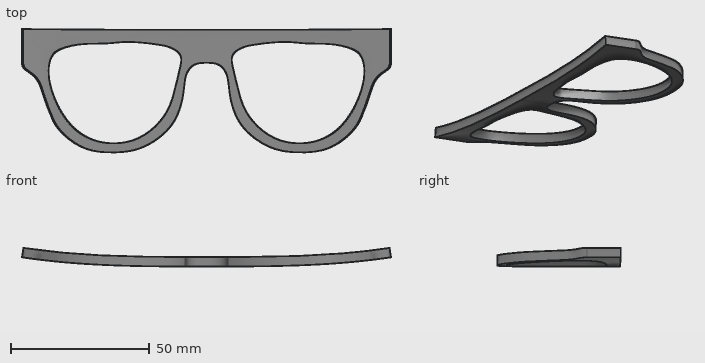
import cadquery as cq
import math

half_width = 66.86
thickness = 3.5
end_rise = 3.36
brow_end_y = 22.39
brow_dip = 0.3
end_face_bottom_y = 10.1

upper_face_steps = 8

clearance = 2.0
low_plane = -clearance
high_plane = end_rise + thickness + clearance

rim_points = [
    (66.5, 8.6),
    (64.0, 6.5),
    (61.3, 3.8),
    (59.3, -1.2),
    (57.2, -7.1),
    (54.9, -12.1),
    (49.9, -17.5),
    (43.2, -21.2),
    (34.0, -22.39),
    (25.1, -21.2),
    (17.6, -17.3),
    (12.0, -11.5),
    (9.2, -5.0),
    (8.1, 1.0),
    (7.1, 6.3),
    (4.9, 9.1),
]
bridge_top = (0, 10.1)

lens_points = [
    (32.7, 17.4),
    (44.4, 16.9),
    (51.9, 15.5),
    (55.7, 13.3),
    (57.5, 8.0),
    (56.4, 0.2),
    (53.2, -7.1),
    (46.8, -14.7),
    (40.2, -18.1),
    (33.5, -19.0),
    (26.6, -17.9),
    (18.9, -13.2),
    (14.1, -7.0),
    (11.4, 0.6),
    (9.6, 8.3),
    (9.5, 12.8),
    (12.6, 15.4),
    (18.9, 16.9),
]


def lower_face_height(x):
    """Height of the sheet's lower face, a cubic rise from the bridge to the ends."""
    return end_rise * abs(x / half_width) ** 3


def lower_face_slope(x):
    """Rise per unit of X on the lower face."""
    return 3 * lower_face_height(x) / x if x else 0


def mirrored(points):
    """Points reflected across the frame's plane of symmetry at X = 0."""
    return [(-x, y) for x, y in points]


def leaned(point, plane_height):
    """Where the line square to the lower face at a point crosses a horizontal plane."""
    x, y = point
    return (x - (plane_height - lower_face_height(x)) * lower_face_slope(x), y)


def upper_face_point(x):
    """Point (X, Z) on the upper face, square across the sheet from the lower face at x."""
    slope = lower_face_slope(x)
    length = math.hypot(1, slope)
    return (x - thickness * slope / length, lower_face_height(x) + thickness / length)


def bent_sheet():
    """Oversize sheet of constant thickness, curving up toward both ends."""
    reach = half_width + clearance
    right_poles = [(0, 0), (reach / 3, 0), (2 * reach / 3, 0), (reach, lower_face_height(reach))]
    left_poles = mirrored(right_poles)[::-1]
    upper_points = [
        upper_face_point(reach * step / upper_face_steps)
        for step in range(upper_face_steps, -upper_face_steps - 1, -1)
    ]
    depth = 2 * (brow_end_y + clearance)
    return (
        cq.Workplane("XZ", origin=(0, depth / 2, 0))
        .moveTo(0, 0)
        .bezier(right_poles)
        .lineTo(*upper_points[0])
        .spline(upper_points[1:], includeCurrent=True)
        .lineTo(*left_poles[0])
        .bezier(left_poles)
        .close()
        .extrude(depth)
    )


def frame_wire(plane_height):
    """Outer outline of the frame where its walls cross a horizontal plane."""
    right_side = [(half_width, end_face_bottom_y)] + rim_points
    lower_edge = right_side + [bridge_top] + mirrored(right_side)[::-1]
    lower_edge = [leaned(point, plane_height) for point in lower_edge]
    brow_right = leaned((half_width, brow_end_y), plane_height)
    brow_left = leaned((-half_width, brow_end_y), plane_height)
    return (
        cq.Workplane("XY", origin=(0, 0, plane_height))
        .moveTo(*brow_right)
        .lineTo(*lower_edge[0])
        .spline(lower_edge[1:], includeCurrent=True)
        .lineTo(*brow_left)
        .threePointArc((0, brow_end_y - brow_dip), brow_right)
        .close()
        .val()
    )


def lens_wire(plane_height):
    """Right lens opening where its walls cross a horizontal plane."""
    points = [leaned(point, plane_height) for point in lens_points]
    return cq.Workplane("XY", origin=(0, 0, plane_height)).spline(points, periodic=True).close().val()


def ruled_block(wire_at):
    """Solid whose walls stand square to the bent sheet across its width."""
    straight_walls = True
    return cq.Workplane(cq.Solid.makeLoft([wire_at(low_plane), wire_at(high_plane)], straight_walls))


lens_block = ruled_block(lens_wire)
frame_block = ruled_block(frame_wire)
result = bent_sheet().intersect(frame_block)
result = result.cut(lens_block).cut(lens_block.mirror("YZ"))